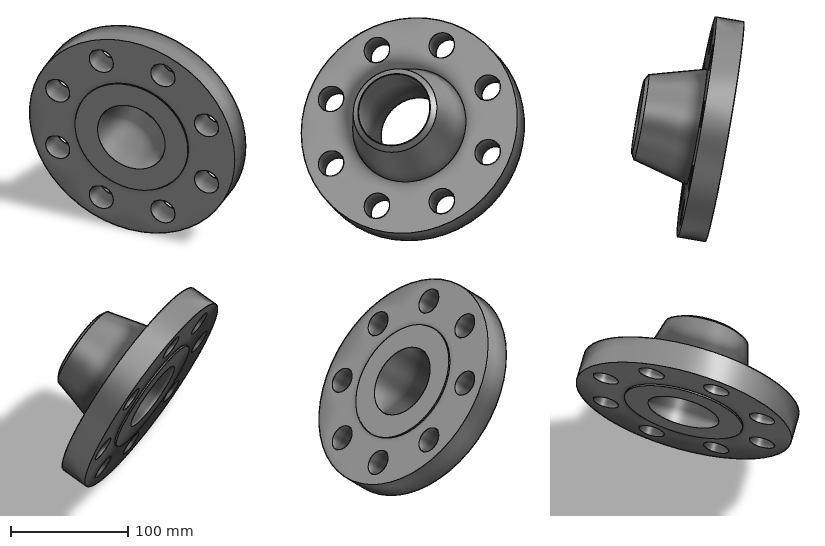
import cadquery as cq

flange_diameter = 190.5
overall_length = 76.2
bore_diameter = 62.7

raised_face_diameter = 104.5
raised_face_height = 1.5
flange_thickness = 24.0
flange_back = raised_face_height + flange_thickness

neck_base_diameter = 99.8
neck_end_diameter = 73.7
bevel_length = 2.9
bevel_width = 5.0
bevel_start = overall_length - bevel_length

bolt_hole_count = 8
bolt_hole_diameter = 22.3
bolt_circle_diameter = 149.4
bolt_hole_pitch = 360 / bolt_hole_count


def revolved_body():
    """Revolve the half section (radius, Y) around the Y axis."""
    return (
        cq.Workplane("XY")
        .moveTo(bore_diameter / 2, 0)
        .lineTo(raised_face_diameter / 2, 0)
        .lineTo(raised_face_diameter / 2, raised_face_height)
        .lineTo(flange_diameter / 2, raised_face_height)
        .lineTo(flange_diameter / 2, flange_back)
        .lineTo(neck_base_diameter / 2, flange_back)
        .lineTo(neck_end_diameter / 2, bevel_start)
        .lineTo(neck_end_diameter / 2 - bevel_width, overall_length)
        .lineTo(bore_diameter / 2, overall_length)
        .close()
        .revolve(360, (0, 0, 0), (0, 1, 0))
    )


def bolt_holes():
    """Cylinders running along Y through the whole flange plate."""
    return (
        cq.Workplane("XZ")
        .polarArray(bolt_circle_diameter / 2, bolt_hole_pitch / 2, 360, bolt_hole_count)
        .circle(bolt_hole_diameter / 2)
        .extrude(-overall_length)
    )


result = revolved_body().cut(bolt_holes())